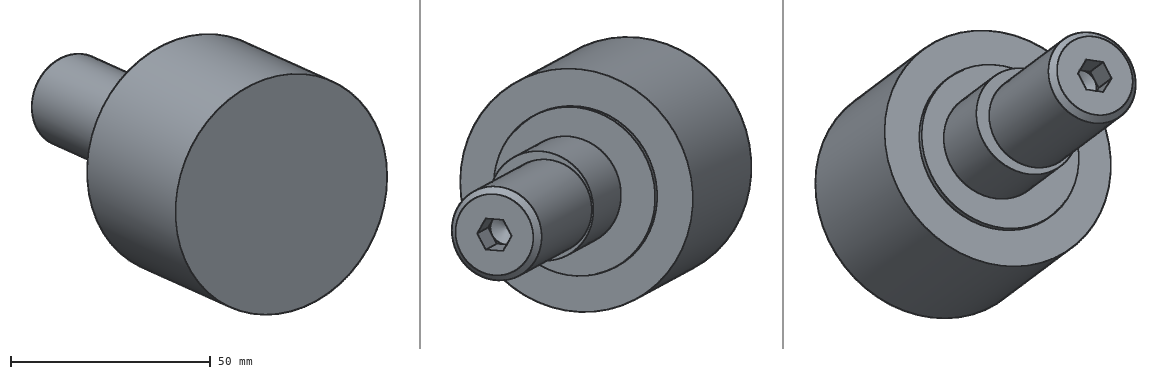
import cadquery as cq
import math

total_length = 102.0
stud_length = 37.9
collar_length = 20.0
flange_length = 1.5

stud_diameter = 24.0
collar_diameter = 27.9
flange_diameter = 43.0
roller_diameter = 62.0

collar_offset = 1.5
stud_chamfer = 1.6

socket_flats = 8.0
socket_depth = 8.0
socket_tip_angle = 120.0

collar_start = stud_length
flange_start = collar_start + collar_length
roller_start = flange_start + flange_length
roller_length = total_length - roller_start


def cylinder(start, length, diameter, offset=0.0):
    """Cylinder along X, with its axis shifted by offset in Y."""
    return cq.Workplane("YZ", origin=(start, offset, 0)).circle(diameter / 2).extrude(length)


def key_socket():
    """Hexagonal prism with corners on +Y and -Y, ending in a cone."""
    corner_diameter = socket_flats / math.cos(math.radians(30))
    prism = cq.Workplane("YZ").polygon(6, corner_diameter).extrude(socket_depth)
    tip_radius = socket_flats / 2
    tip_depth = tip_radius / math.tan(math.radians(socket_tip_angle / 2))
    tip = cq.Solid.makeCone(
        tip_radius, 0, tip_depth, pnt=cq.Vector(socket_depth, 0, 0), dir=cq.Vector(1, 0, 0)
    )
    return prism.union(cq.Workplane(tip))


stud = cylinder(0, stud_length, stud_diameter).faces("<X").chamfer(stud_chamfer)
collar = cylinder(collar_start, collar_length, collar_diameter, collar_offset)
flange = cylinder(flange_start, flange_length, flange_diameter)
roller = cylinder(roller_start, roller_length, roller_diameter)

result = stud.union(collar).union(flange).union(roller).cut(key_socket())